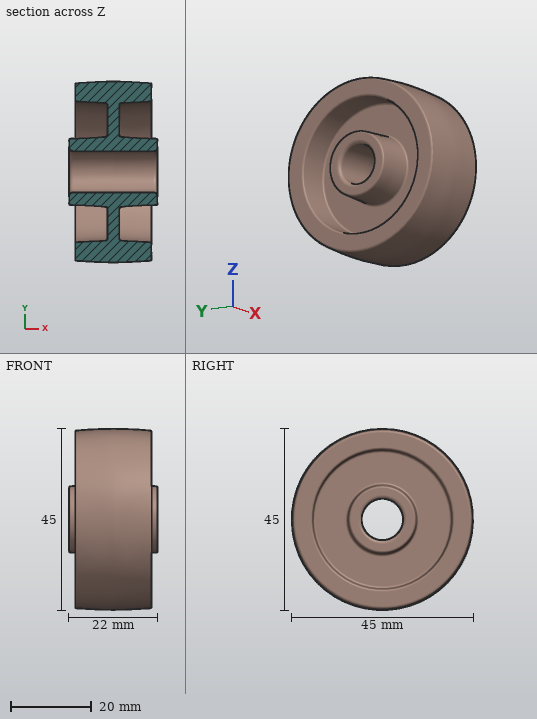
import cadquery as cq
import math

wheel_radius = 22.5
tread_width = 19.0
hub_length = 22.0
bore_radius = 5.1

crown_radius = 100.0

web_thickness = 3.0
hub_tip_radius = 8.25
rim_mouth_radius = 17.45
draft_angle = 3.0

edge_fillet = 0.5
bore_fillet = 1.0
plane_tolerance = 0.01

half_tread = tread_width / 2
half_hub = hub_length / 2
half_web = web_thickness / 2
draft_slope = math.tan(math.radians(draft_angle))
hub_root_radius = hub_tip_radius + (half_hub - half_web) * draft_slope
rim_root_radius = rim_mouth_radius - (half_tread - half_web) * draft_slope


def crown_height(x):
    """Radius of the crowned tread at distance x from the mid-plane."""
    return wheel_radius - crown_radius + math.sqrt(crown_radius**2 - x**2)


def make_half_wheel():
    """The -X half: rim, web and hub, revolved from one half profile."""
    profile = (
        cq.Workplane("XZ")
        .moveTo(0, bore_radius)
        .lineTo(-half_hub, bore_radius)
        .lineTo(-half_hub, hub_tip_radius)
        .lineTo(-half_web, hub_root_radius)
        .lineTo(-half_web, rim_root_radius)
        .lineTo(-half_tread, rim_mouth_radius)
        .lineTo(-half_tread, crown_height(half_tread))
        .threePointArc((-half_tread / 2, crown_height(half_tread / 2)), (0, wheel_radius))
        .close()
    )
    return profile.revolve(360, (0, 0, 0), (1, 0, 0))


def ring_edges(body, x, inner_limit, outer_limit):
    """Circular edges lying in the plane at x with a radius between the limits."""
    return body.edges("%CIRCLE").filter(
        lambda edge: abs(edge.Center().x - x) < plane_tolerance and inner_limit < edge.radius() < outer_limit
    )


def round_edges(body):
    """Round the bore mouth, the hub tip, the recess corners and the rim face edges."""
    hub_wall_middle = (bore_radius + hub_tip_radius) / 2
    body = ring_edges(body, -half_hub, 0, hub_wall_middle).fillet(bore_fillet)
    body = ring_edges(body, -half_hub, hub_wall_middle, wheel_radius).fillet(edge_fillet)
    body = ring_edges(body, -half_web, hub_wall_middle, wheel_radius).fillet(edge_fillet)
    return ring_edges(body, -half_tread, hub_wall_middle, wheel_radius).fillet(edge_fillet)


half_wheel = round_edges(make_half_wheel())
result = half_wheel.union(half_wheel.mirror("YZ"))